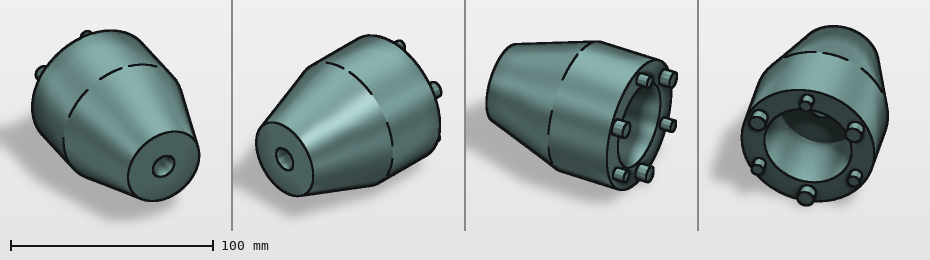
import cadquery as cq
import math

total_length = 81.0
pin_length = 6.0
body_length = 33.0
body_diameter = 67.0
tip_diameter = 40.0
cone_length = total_length - pin_length - body_length

bore_diameter = 44.0
bore_depth = body_length
bore_floor_fillet = 1.0
through_diameter = 12.0

pin_circle_radius = 28.0
large_pin_diameter = 8.0
small_pin_diameter = 6.0
pin_count = 6
pin_overlap = 0.8


def cylinder(diameter, start_x, length, y=0.0, z=0.0):
    """Cylinder along +X starting at start_x."""
    return cq.Workplane("YZ", origin=(start_x, y, z)).circle(diameter / 2).extrude(length)


def make_shell():
    """Cylindrical body with a tapered nose, its +X end at total_length."""
    body_end = pin_length + body_length
    return (
        cq.Workplane("XY")
        .moveTo(pin_length, 0)
        .lineTo(pin_length, body_diameter / 2)
        .lineTo(body_end, body_diameter / 2)
        .lineTo(body_end + cone_length, tip_diameter / 2)
        .lineTo(total_length, 0)
        .close()
        .revolve(360, (0, 0, 0), (1, 0, 0))
    )


def make_bore():
    """Blind bore with a rounded floor edge, and the through hole in the nose."""
    bore = cylinder(bore_diameter, pin_length, bore_depth).faces(">X").edges().fillet(bore_floor_fillet)
    through_hole = cylinder(through_diameter, pin_length, total_length - pin_length)
    return bore.union(through_hole)


def make_pin(index):
    """Pin at one of the equally spaced positions; the first is a small one at the top."""
    angle = math.radians(90 + index * 360 / pin_count)
    diameter = small_pin_diameter if index % 2 == 0 else large_pin_diameter
    y = pin_circle_radius * math.cos(angle)
    z = pin_circle_radius * math.sin(angle)
    return cylinder(diameter, 0, pin_length + pin_overlap, y, z)


result = make_shell().cut(make_bore())
for pin_index in range(pin_count):
    result = result.union(make_pin(pin_index))